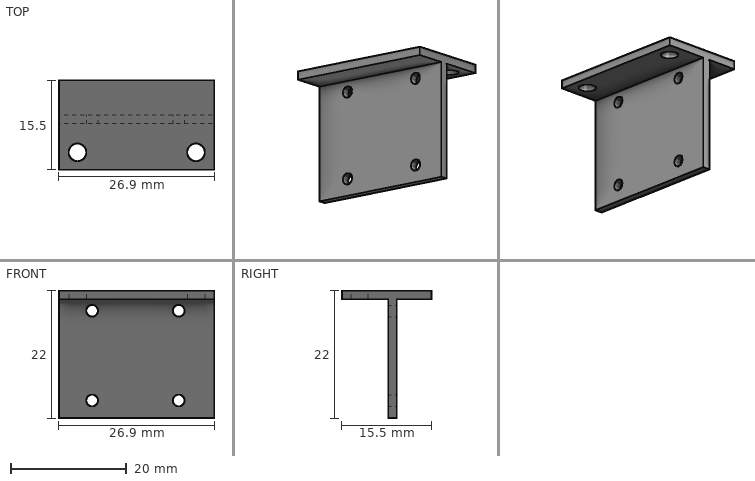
import cadquery as cq

length = 26.85
flange_width = 15.5
height = 22.0
thickness = 1.5

rear_overhang = 6.0
web_hole_diameter = 2.0
web_hole_left = 5.72
web_hole_bottom = 3.03
web_hole_spacing_x = 14.95
web_hole_spacing_z = 15.5

flange_hole_diameter = 3.0
flange_hole_end_margin = 3.2
flange_hole_front_margin = 3.0

web_rear = flange_width - rear_overhang
flange_bottom = height - thickness


def make_flange():
    """Horizontal plate with two holes near its front edge."""
    plate = cq.Workplane("XY").box(length, flange_width, thickness, centered=False)
    holes = [
        (x, flange_hole_front_margin)
        for x in (flange_hole_end_margin, length - flange_hole_end_margin)
    ]
    cutter = cq.Workplane("XY").pushPoints(holes).circle(flange_hole_diameter / 2).extrude(thickness)
    return plate.cut(cutter).translate((0, 0, flange_bottom))


def make_web():
    """Vertical plate under the flange with a rectangle of four holes."""
    rear_face = cq.Workplane("XZ", origin=(0, web_rear, 0))
    plate = rear_face.rect(length, height, centered=False).extrude(thickness)
    holes = [
        (x, z)
        for x in (web_hole_left, web_hole_left + web_hole_spacing_x)
        for z in (web_hole_bottom, web_hole_bottom + web_hole_spacing_z)
    ]
    cutter = rear_face.pushPoints(holes).circle(web_hole_diameter / 2).extrude(thickness)
    return plate.cut(cutter)


result = make_flange().union(make_web())